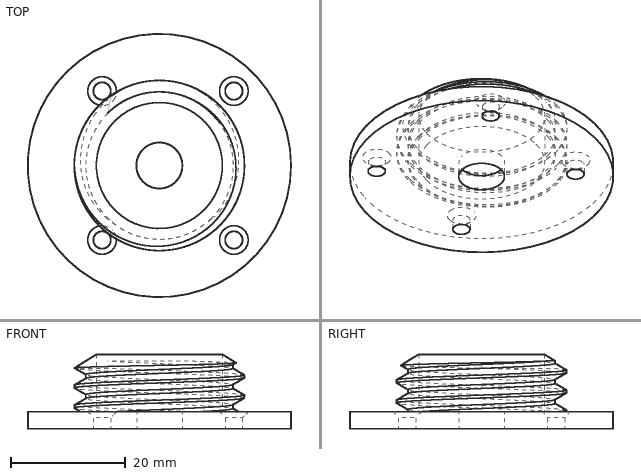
import cadquery as cq
import math

flange_diameter = 46.0
flange_thickness = 3.0
centre_hole_diameter = 8.0

screw_hole_diameter = 3.0
countersink_diameter = 5.0
countersink_angle = 90.0
screw_hole_left_x = -10.0
screw_hole_right_x = 13.0
screw_hole_y = 13.0

total_height = 13.0
bore_diameter = 22.0
thread_major_diameter = 29.73
thread_minor_diameter = 25.73
thread_pitch = 3.5
thread_flank_angle = 30.0
crest_width = 0.5
crest_height_at_x_axis = flange_thickness + 0.75 * thread_pitch

lead_in_width = 4.0
lead_in_depth = 2.5

root_overlap = 0.1

bore_radius = bore_diameter / 2
major_radius = thread_major_diameter / 2
minor_radius = thread_minor_diameter / 2


def make_flange():
    """Round flange with a centre hole and four countersunk screw holes."""
    screw_points = [
        (x, y)
        for x in (screw_hole_left_x, screw_hole_right_x)
        for y in (-screw_hole_y, screw_hole_y)
    ]
    return (
        cq.Workplane("XY")
        .circle(flange_diameter / 2)
        .circle(centre_hole_diameter / 2)
        .extrude(flange_thickness)
        .faces(">Z")
        .workplane(origin=(0, 0, flange_thickness))
        .pushPoints(screw_points)
        .cskHole(screw_hole_diameter, countersink_diameter, countersink_angle)
    )


def make_helix(radius, start_z, turns):
    """Right-handed helical wire starting above the +X axis."""
    helix = cq.Wire.makeHelix(thread_pitch, turns * thread_pitch, radius)
    return helix.translate(cq.Vector(0, 0, start_z))


def make_thread_ridge():
    """Helical ridge of trapezoidal section, overlong at both ends."""
    root_radius = minor_radius - root_overlap
    flank_rise = (major_radius - root_radius) * math.tan(math.radians(thread_flank_angle))
    half_crest = crest_width / 2
    half_root = half_crest + flank_rise

    height_above_flange = crest_height_at_x_axis + half_root - flange_thickness
    turns_below = math.ceil(height_above_flange / thread_pitch) + 1
    start_z = crest_height_at_x_axis - turns_below * thread_pitch
    turns = math.ceil((total_height + half_root - start_z) / thread_pitch) + 1

    section = [
        (root_radius, start_z - half_root),
        (major_radius, start_z - half_crest),
        (major_radius, start_z + half_crest),
        (root_radius, start_z + half_root),
    ]
    helices = [make_helix(radius, z, turns) for radius, z in section]
    faces = [
        cq.Face.makeRuledSurface(helix, following).Faces()[0]
        for helix, following in zip(helices, helices[1:] + helices[:1])
    ]
    for helix_end in (cq.Wire.startPoint, cq.Wire.endPoint):
        corners = [helix_end(helix) for helix in helices]
        faces.append(cq.Face.makeFromWires(cq.Wire.makePolygon(corners, close=True)))
    return cq.Workplane(cq.Solid.makeSolid(cq.Shell.makeShell(faces)))


def make_neck_envelope():
    """Solid of revolution bounding the neck: bore, flange top and lead-in cone."""
    outer_radius = bore_radius + lead_in_width
    return (
        cq.Workplane("XZ")
        .moveTo(bore_radius, flange_thickness)
        .lineTo(outer_radius, flange_thickness)
        .lineTo(outer_radius, total_height - lead_in_depth)
        .lineTo(bore_radius, total_height)
        .close()
        .revolve(360, (0, 0, 0), (0, 1, 0))
    )


def make_neck():
    """Hollow neck with an external thread that runs out through the lead-in cone."""
    core = (
        cq.Workplane("XY", origin=(0, 0, flange_thickness))
        .circle(minor_radius)
        .circle(bore_radius)
        .extrude(total_height - flange_thickness)
    )
    envelope = make_neck_envelope()
    ridge = make_thread_ridge().intersect(envelope)
    return core.intersect(envelope).union(ridge)


result = make_flange().union(make_neck()).solids()